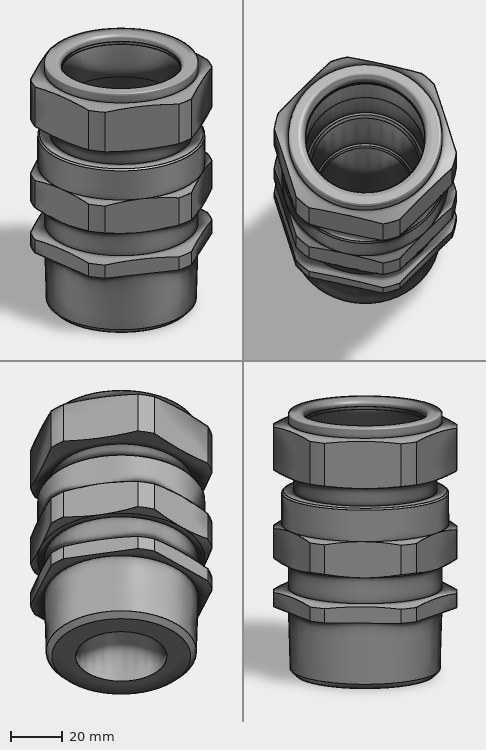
import cadquery as cq
import math


across_flats = 65.0
corner_diameter = 71.5
corner_radius = corner_diameter / 2
hex_rotation = 30

bevel_angle = 15
collar_radius = 30.0
collar_bevel_drop = (corner_radius - collar_radius) * math.tan(math.radians(bevel_angle))

entry_hex_bottom = 27.2
entry_hex_top = 34.4
entry_top = 45.3
body_hex_top = 59.7
body_ring_top = 72.8
nut_bottom = 80.3
body_top = 86.2
nut_hex_top = 100.3
nut_top = 104.4

barrel_tip_radius = 29.2
barrel_chamfer = 2.2
entry_bore_bottom_radius = 17.7
entry_bore_top_radius = 18.9
entry_bore_chamfer = 0.6

ring_radius = across_flats / 2
ring_edge_chamfer = 0.6
body_bevel_drop = 1.4
spigot_radius = 27.9
passage_radius = 23.2
ledge_z = 70.7
ledge_inner_radius = 22.1
ledge_chamfer = 0.9
throat_radius = 20.5

nut_bottom_land_radius = 30.7
nut_bottom_drop = 1.4
nut_edge_fillet = 1.1
lip_round = 3.0
relief_radius = 23.4
relief_height = 1.1


def turned(points):
    """Solid of revolution about Z from a closed outline of (radius, height) points."""
    return cq.Workplane("XZ").polyline(points).close().revolve(360, (0, 0, 0), (0, 1, 0))


def cylinder(radius, bottom, top):
    return cq.Workplane("XY").workplane(offset=bottom).circle(radius).extrude(top - bottom)


def hexagon(bottom, top):
    """Hexagonal prism with corners turned down to the corner diameter."""
    full_corner_diameter = across_flats / math.cos(math.pi / 6)
    prism = cq.Workplane("XY").workplane(offset=bottom).polygon(6, full_corner_diameter).extrude(top - bottom)
    prism = prism.rotate((0, 0, 0), (0, 0, 1), hex_rotation)
    return prism.intersect(cylinder(corner_radius, bottom, top))


def corner_bevel(face_z, land_radius, drop):
    """Conical cutter that leaves a flat land on a hexagon face; a negative drop bevels a bottom face."""
    reach = 2 * corner_radius - land_radius
    return turned([(land_radius, face_z), (reach, face_z), (reach, face_z - 2 * drop)])


def make_entry():
    barrel = turned([
        (0, 0),
        (barrel_tip_radius - barrel_chamfer, 0),
        (barrel_tip_radius, barrel_chamfer),
        (collar_radius, entry_hex_bottom),
        (collar_radius, entry_top),
        (0, entry_top),
    ])
    hex_flange = hexagon(entry_hex_bottom, entry_hex_top)
    hex_flange = hex_flange.cut(corner_bevel(entry_hex_top, collar_radius, collar_bevel_drop))
    bore = turned([
        (0, 0),
        (entry_bore_bottom_radius, 0),
        (entry_bore_top_radius, entry_top - entry_bore_chamfer),
        (entry_bore_top_radius + entry_bore_chamfer, entry_top),
        (0, entry_top),
    ])
    return barrel.union(hex_flange).cut(bore)


def make_body():
    hex_flange = hexagon(entry_top, body_hex_top)
    hex_flange = hex_flange.cut(corner_bevel(body_hex_top, ring_radius, body_bevel_drop))
    hex_flange = hex_flange.cut(corner_bevel(entry_top, ring_radius, -body_bevel_drop))
    ring = cylinder(ring_radius, body_hex_top, body_ring_top).faces(">Z").edges().chamfer(ring_edge_chamfer)
    spigot = cylinder(spigot_radius, body_ring_top, body_top)
    passage = turned([
        (0, entry_top),
        (throat_radius, entry_top),
        (ledge_inner_radius - ledge_chamfer, ledge_z - ledge_chamfer),
        (ledge_inner_radius, ledge_z),
        (passage_radius, ledge_z),
        (passage_radius, body_top),
        (0, body_top),
    ])
    return hex_flange.union(ring).union(spigot).cut(passage)


def make_cap_nut():
    hex_head = hexagon(nut_bottom, nut_hex_top)
    hex_head = hex_head.cut(corner_bevel(nut_hex_top, collar_radius, collar_bevel_drop))
    hex_head = hex_head.cut(corner_bevel(nut_bottom, nut_bottom_land_radius, -nut_bottom_drop))
    collar = cylinder(collar_radius, nut_bottom, nut_top)
    collar = collar.faces(">Z").edges().fillet(nut_edge_fillet)
    nut = hex_head.union(collar).cut(cylinder(passage_radius, nut_bottom, nut_top))
    nut = nut.faces(">Z").edges(cq.selectors.RadiusNthSelector(0)).fillet(lip_round)
    lip_bottom = nut_top - lip_round
    relief = cylinder(relief_radius, lip_bottom - relief_height, lip_bottom)
    return nut.cut(relief).cut(cylinder(spigot_radius, nut_bottom, body_top))


entry = make_entry().solids()
body = make_body().solids()
cap_nut = make_cap_nut().solids()

result = cq.Compound.makeCompound([entry.val(), body.val(), cap_nut.val()])